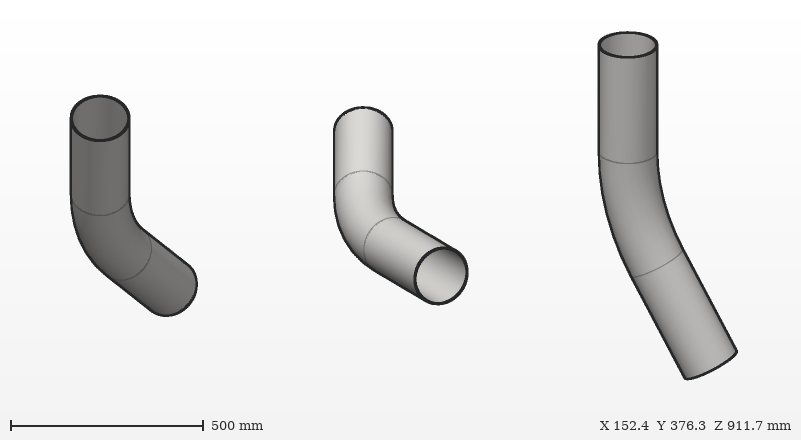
import cadquery as cq
import math

outer_diameter = 152.4
inner_diameter = 146.3
leg_length = 2 * outer_diameter
bend_radius = 4 * outer_diameter
bend_angle = 30.0


def centerline_point(angle_degrees):
    """Return (y, z) on the bend centerline after turning by the given angle."""
    angle = math.radians(angle_degrees)
    return (bend_radius * (1 - math.cos(angle)), -bend_radius * math.sin(angle))


def make_centerline():
    """Straight leg, tangent arc curving toward +Y, straight leg."""
    bend_end_y, bend_end_z = centerline_point(bend_angle)
    angle = math.radians(bend_angle)
    lower_end = (
        bend_end_y + leg_length * math.sin(angle),
        bend_end_z - leg_length * math.cos(angle),
    )
    return (
        cq.Workplane("YZ")
        .moveTo(0, leg_length)
        .lineTo(0, 0)
        .threePointArc(centerline_point(bend_angle / 2), (bend_end_y, bend_end_z))
        .lineTo(*lower_end)
    )


def make_pipe():
    """Sweep the ring-shaped wall section from the upper end along the centerline."""
    return (
        cq.Workplane("XY")
        .workplane(offset=leg_length)
        .circle(outer_diameter / 2)
        .circle(inner_diameter / 2)
        .sweep(make_centerline())
    )


result = make_pipe()